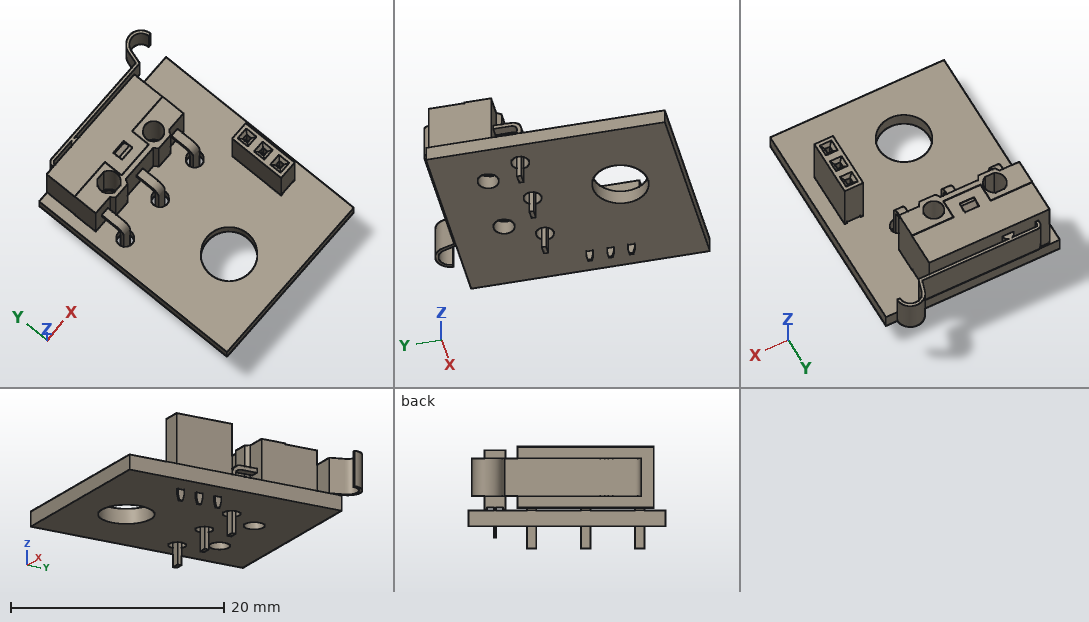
import cadquery as cq
import math


BOARD_WIDTH = 18.5
BOARD_LENGTH = 23.0
BOARD_THICKNESS = 1.5
MOUNT_HOLE_DIAMETER = 5.3
MOUNT_HOLE_Y = 6.03
TERMINAL_HOLE_DIAMETER = 1.7
TERMINAL_HOLE_SETBACK = 8.5

SWITCH_X = 7.5
CASE_WIDTH = 12.8
CASE_DEPTH = 6.0
CASE_HEIGHT = 5.83
CASE_CLEARANCE = 0.18
CASE_CENTRE_Z = CASE_CLEARANCE + CASE_HEIGHT / 2
COVER_STEP = 0.09
COVER_DEPTH = 3.43
TONGUE_WIDTH = 3.95
TONGUE_END = 5.45
BOSS_SPACING = 6.3
BOSS_BASE_WIDTH = 2.3
BOSS_TIP_WIDTH = 1.72
BOSS_HEIGHT = 0.45

FIXING_SPACING = 6.5
FIXING_SETBACK = 5.0
FIXING_DIAMETER = 2.0
FLATTED_HOLE_DIAMETER = 2.24
FLATTED_HOLE_DEPTH = 2.03

WINDOW_WIDTH = 1.5
WINDOW_DEPTH = 1.07
LATCH_FLAT = 0.35
LATCH_RAMP = WINDOW_DEPTH - LATCH_FLAT

TERMINAL_PITCH = 5.07
TERMINAL_WIDTH = 0.9
TERMINAL_THICKNESS = 0.42
TERMINAL_BEND_RADIUS = 0.55
TERMINAL_REACH = 8.71
TERMINAL_DROP = 3.6
TERMINAL_TOP = CASE_CENTRE_Z + TERMINAL_THICKNESS / 2

LEVER_HEIGHT = 3.55
LEVER_THICKNESS = 0.3
LEVER_FOOT_X = 2.3
LEVER_OFFSET = 0.83
LEVER_BEND_RADIUS = 0.2
LEVER_ARM_ANGLE = math.radians(73)
HOOK_X = 16.78
HOOK_OFFSET = 1.6
HOOK_RADIUS = 1.4
PLUNGER_X = 5.55
PLUNGER_RADIUS = 0.6
PLUNGER_INSET = 0.05

HEADER_X = 16.0
HEADER_Y = 8.97
HEADER_WIDTH = 1.98
HEADER_LENGTH = 6.0
HEADER_TOP = 5.65
HEADER_CLEARANCE = 0.08
HEADER_FOOT_WIDTH = 0.25
HEADER_NOTCH_TOP = 0.25
SOCKET_PITCH = 2.0
SOCKET_COUNT = 3
SOCKET_MOUTH = 1.25
SOCKET_BORE = 0.55
SOCKET_LEAD_IN = (SOCKET_MOUTH - SOCKET_BORE) / 2
SOCKET_DEPTH = 2.8
CONTACT_DEPTH = 1.4
PIN_THICKNESS = 0.2
PIN_WIDTH = 0.65
PIN_TIP_WIDTH = 0.36
PIN_SHOULDER = 0.5
PIN_END = 1.07

FIXING_XS = [SWITCH_X - FIXING_SPACING / 2, SWITCH_X + FIXING_SPACING / 2]
TERMINAL_XS = [SWITCH_X + i * TERMINAL_PITCH for i in (-1, 0, 1)]
SOCKET_YS = [HEADER_Y + (i - (SOCKET_COUNT - 1) / 2) * SOCKET_PITCH for i in range(SOCKET_COUNT)]


def box(x_range, y_range, z_range):
    """Box between the given limits on each axis."""
    size = [high - low for low, high in (x_range, y_range, z_range)]
    corner = (x_range[0], y_range[0], z_range[0])
    return cq.Workplane("XY").box(*size, centered=False).translate(corner)


def span(centre, width):
    """Limits of a width centred on a place."""
    return (centre - width / 2, centre + width / 2)


def upright_cylinders(points, diameter, bottom, top):
    """Vertical cylinders at the given XY points."""
    plane = cq.Workplane("XY").workplane(offset=bottom)
    return plane.pushPoints(points).circle(diameter / 2).extrude(top - bottom)


def make_board():
    slab_z = (-BOARD_THICKNESS, 0)
    board = box((0, BOARD_WIDTH), (0, BOARD_LENGTH), slab_z)
    mount_points = [(SWITCH_X, MOUNT_HOLE_Y)]
    terminal_points = [(x, BOARD_LENGTH - TERMINAL_HOLE_SETBACK) for x in TERMINAL_XS]
    fixing_points = [(x, BOARD_LENGTH - FIXING_SETBACK) for x in FIXING_XS]
    board = board.cut(upright_cylinders(mount_points, MOUNT_HOLE_DIAMETER, *slab_z))
    board = board.cut(upright_cylinders(terminal_points, TERMINAL_HOLE_DIAMETER, *slab_z))
    board = board.cut(upright_cylinders(fixing_points, FIXING_DIAMETER, *slab_z))
    for y in SOCKET_YS:
        board = board.cut(box(span(HEADER_X, PIN_THICKNESS), span(y, PIN_WIDTH), slab_z))
    return board


def make_boss(x):
    """Tapered rib on the front of the case, next to a fixing hole."""
    root_y = BOARD_LENGTH - CASE_DEPTH
    tip_y = root_y - BOSS_HEIGHT
    outline = [
        (x - BOSS_BASE_WIDTH / 2, root_y),
        (x - BOSS_TIP_WIDTH / 2, tip_y),
        (x + BOSS_TIP_WIDTH / 2, tip_y),
        (x + BOSS_BASE_WIDTH / 2, root_y),
    ]
    plane = cq.Workplane("XY").workplane(offset=CASE_CLEARANCE)
    return plane.polyline(outline).close().extrude(CASE_HEIGHT)


def make_latch_window(top):
    """Wedge-shaped pocket above the ramp of the latch that holds the cover."""
    back = BOARD_LENGTH - COVER_DEPTH
    ramp_start = back - LATCH_RAMP
    outline = [(ramp_start, top), (back, top), (back, top - LATCH_RAMP)]
    plane = cq.Workplane("YZ").workplane(offset=SWITCH_X - WINDOW_WIDTH / 2)
    return plane.polyline(outline).close().extrude(WINDOW_WIDTH)


def make_case():
    bottom = CASE_CLEARANCE
    top = CASE_CLEARANCE + CASE_HEIGHT
    back = BOARD_LENGTH
    case_x = span(SWITCH_X, CASE_WIDTH)
    case = box(case_x, (back - CASE_DEPTH, back), (bottom, top))
    for x in span(SWITCH_X, BOSS_SPACING):
        case = case.union(make_boss(x))

    for step_z in ((top - COVER_STEP, top), (bottom, bottom + COVER_STEP)):
        case = case.cut(box(case_x, (back - COVER_DEPTH, back), step_z))
        tongue_y = (back - TONGUE_END, back - COVER_DEPTH)
        case = case.cut(box(span(SWITCH_X, TONGUE_WIDTH), tongue_y, step_z))

    latch_y = (back - COVER_DEPTH - WINDOW_DEPTH, back - COVER_DEPTH)
    case = case.union(box(span(SWITCH_X, WINDOW_WIDTH), latch_y, (top - COVER_STEP, top)))
    case = case.cut(make_latch_window(top))

    fixing_y = back - FIXING_SETBACK
    left_x, right_x = FIXING_XS
    flatted = upright_cylinders([(left_x, fixing_y)], FLATTED_HOLE_DIAMETER, bottom, top)
    flats = box(span(left_x, FLATTED_HOLE_DIAMETER), span(fixing_y, FLATTED_HOLE_DEPTH), (bottom, top))
    case = case.cut(flatted.intersect(flats))
    return case.cut(upright_cylinders([(right_x, fixing_y)], FIXING_DIAMETER, bottom, top))


def make_terminal(x):
    """Flat strip that leaves the case and bends down through the board."""
    root_y = BOARD_LENGTH - CASE_DEPTH
    leg_front = BOARD_LENGTH - TERMINAL_REACH
    leg_back = leg_front + TERMINAL_THICKNESS
    underside = TERMINAL_TOP - TERMINAL_THICKNESS
    inner = TERMINAL_BEND_RADIUS
    outer = TERMINAL_BEND_RADIUS + TERMINAL_THICKNESS
    return (
        cq.Workplane("YZ")
        .workplane(offset=x - TERMINAL_WIDTH / 2)
        .moveTo(root_y, TERMINAL_TOP)
        .lineTo(leg_front + outer, TERMINAL_TOP)
        .radiusArc((leg_front, TERMINAL_TOP - outer), -outer)
        .lineTo(leg_front, -TERMINAL_DROP)
        .lineTo(leg_back, -TERMINAL_DROP)
        .lineTo(leg_back, underside - inner)
        .radiusArc((leg_back + inner, underside), inner)
        .lineTo(root_y, underside)
        .close()
        .extrude(TERMINAL_WIDTH)
    )


def hook_point(radius, angle):
    """Point on a circle about the hook centre."""
    hook_y = BOARD_LENGTH + HOOK_OFFSET
    return (HOOK_X + radius * math.cos(angle), hook_y + radius * math.sin(angle))


def arm_foot(tangent_point, y):
    """Point where the line along the arm through a tangent point reaches the height y."""
    return (tangent_point[0] - (tangent_point[1] - y) / math.tan(LEVER_ARM_ANGLE), y)


def make_lever():
    """Spring strip: a bent foot, a straight run, a sloping arm and a rounded hook."""
    root_y = BOARD_LENGTH
    outer_y = BOARD_LENGTH + LEVER_OFFSET
    inner_y = outer_y - LEVER_THICKNESS
    foot_inner_x = LEVER_FOOT_X + LEVER_THICKNESS
    bend_inner = LEVER_BEND_RADIUS
    bend_outer = LEVER_BEND_RADIUS + LEVER_THICKNESS
    hook_inner = HOOK_RADIUS - LEVER_THICKNESS
    tangent_angle = LEVER_ARM_ANGLE + math.pi / 2
    crown_angle = math.pi / 2
    outer_tangent = hook_point(HOOK_RADIUS, tangent_angle)
    inner_tangent = hook_point(hook_inner, tangent_angle)
    return (
        cq.Workplane("XY")
        .workplane(offset=CASE_CENTRE_Z - LEVER_HEIGHT / 2)
        .moveTo(LEVER_FOOT_X, root_y)
        .lineTo(LEVER_FOOT_X, outer_y - bend_outer)
        .radiusArc((LEVER_FOOT_X + bend_outer, outer_y), bend_outer)
        .lineTo(*arm_foot(outer_tangent, outer_y))
        .lineTo(*outer_tangent)
        .threePointArc(hook_point(HOOK_RADIUS, crown_angle), hook_point(HOOK_RADIUS, 0))
        .lineTo(*hook_point(hook_inner, 0))
        .threePointArc(hook_point(hook_inner, crown_angle), inner_tangent)
        .lineTo(*arm_foot(inner_tangent, inner_y))
        .lineTo(foot_inner_x + bend_inner, inner_y)
        .radiusArc((foot_inner_x, inner_y - bend_inner), -bend_inner)
        .lineTo(foot_inner_x, root_y)
        .close()
        .extrude(LEVER_HEIGHT)
    )


def make_plunger():
    """Rounded button that bears on the lever."""
    centre_y = BOARD_LENGTH - PLUNGER_INSET
    button_z = span(CASE_CENTRE_Z, LEVER_HEIGHT)
    button = upright_cylinders([(PLUNGER_X, centre_y)], 2 * PLUNGER_RADIUS, *button_z)
    outside_y = (BOARD_LENGTH, BOARD_LENGTH + LEVER_OFFSET)
    return button.intersect(box(span(PLUNGER_X, 2 * PLUNGER_RADIUS), outside_y, button_z))


def make_switch():
    switch = make_case().union(make_lever()).union(make_plunger())
    for x in TERMINAL_XS:
        switch = switch.union(make_terminal(x))
    return switch


def make_socket(y):
    """Square bore with a tapered mouth."""
    bore_z = (HEADER_TOP - SOCKET_DEPTH, HEADER_TOP)
    bore = box(span(HEADER_X, SOCKET_BORE), span(y, SOCKET_BORE), bore_z)
    lead_in = (
        cq.Workplane("XY", origin=(HEADER_X, y, HEADER_TOP - SOCKET_LEAD_IN))
        .rect(SOCKET_BORE, SOCKET_BORE)
        .workplane(offset=SOCKET_LEAD_IN)
        .rect(SOCKET_MOUTH, SOCKET_MOUTH)
        .loft(combine=True)
    )
    return bore.union(lead_in)


def make_pin(y):
    """Flat pin from the underside of the header to a tapered tip below the board."""
    underside = -BOARD_THICKNESS
    outline = [
        (y - PIN_WIDTH / 2, HEADER_NOTCH_TOP),
        (y - PIN_WIDTH / 2, underside - PIN_SHOULDER),
        (y - PIN_TIP_WIDTH / 2, underside - PIN_END),
        (y + PIN_TIP_WIDTH / 2, underside - PIN_END),
        (y + PIN_WIDTH / 2, underside - PIN_SHOULDER),
        (y + PIN_WIDTH / 2, HEADER_NOTCH_TOP),
    ]
    plane = cq.Workplane("YZ").workplane(offset=HEADER_X - PIN_THICKNESS / 2)
    return plane.polyline(outline).close().extrude(PIN_THICKNESS)


def make_contact(y):
    """Blade across the bore, standing on the floor of the socket."""
    blade_z = (HEADER_TOP - SOCKET_DEPTH, HEADER_TOP - CONTACT_DEPTH)
    return box(span(HEADER_X, PIN_THICKNESS), span(y, SOCKET_BORE), blade_z)


def make_header():
    length_y = span(HEADER_Y, HEADER_LENGTH)
    header = box(span(HEADER_X, HEADER_WIDTH), length_y, (HEADER_CLEARANCE, HEADER_TOP))
    notch_width = HEADER_WIDTH - 2 * HEADER_FOOT_WIDTH
    notch_z = (HEADER_CLEARANCE, HEADER_NOTCH_TOP)
    header = header.cut(box(span(HEADER_X, notch_width), length_y, notch_z))
    for y in SOCKET_YS:
        header = header.cut(make_socket(y)).union(make_contact(y)).union(make_pin(y))
    return header


board = make_board()
switch = make_switch()
header = make_header()

result = cq.Compound.makeCompound([body.solids().val() for body in (board, switch, header)])